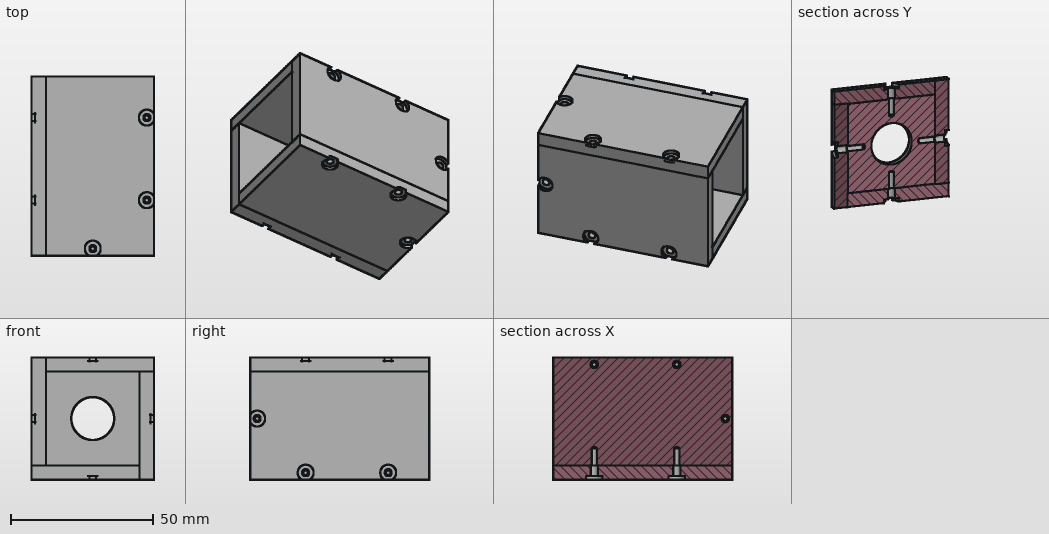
import cadquery as cq
import math

box_width = 43.0
box_length = 63.0
wall = 5.05
bore_diameter = 15.0

counterbore_diameter = 5.6
counterbore_depth = 1.3
clearance_diameter = 2.45
pilot_diameter = 1.75
pilot_depth = 6.0
drill_tip_angle = 118
side_count = 4

half_width = box_width / 2
front_y = -box_length / 2
inner_width = box_width - 2 * wall
joint_z = half_width - wall
open_length = box_length - wall
seam_x = half_width - wall / 2
end_screw_y = front_y + wall / 2
seam_screw_ys = [front_y + wall + open_length * share for share in (0.25, 0.75)]

seam_screws = [(seam_x, y) for y in seam_screw_ys]
end_screw = (0, end_screw_y)


def turned(body, side):
    """Turn a body about the Y axis to the given side of the box; side 0 is the top."""
    return body.rotate((0, 0, 0), (0, 1, 0), side * 360 / side_count)


def pilot_holes(points):
    """Pilot holes going down from the joint plane, with conical drill tips."""
    straight = cq.Workplane("XY", origin=(0, 0, joint_z)).pushPoints(points)
    holes = straight.circle(pilot_diameter / 2).extrude(-pilot_depth)
    tip_height = pilot_diameter / 2 / math.tan(math.radians(drill_tip_angle / 2))
    for x, y in points:
        tip_base = cq.Vector(x, y, joint_z - pilot_depth)
        tip = cq.Solid.makeCone(pilot_diameter / 2, 0, tip_height, tip_base, cq.Vector(0, 0, -1))
        holes = holes.union(cq.Workplane(tip))
    return holes


def make_panel():
    """Top panel: screwed down to the right-hand panel and the end plate."""
    panel = (
        cq.Workplane("XY", origin=(0, 0, joint_z))
        .center(wall / 2, 0)
        .rect(box_width - wall, box_length)
        .extrude(wall)
    )
    screw_holes = (
        cq.Workplane("XY", origin=(0, 0, half_width))
        .pushPoints(seam_screws + [end_screw])
    )
    panel = panel.cut(screw_holes.circle(clearance_diameter / 2).extrude(-wall))
    panel = panel.cut(screw_holes.circle(counterbore_diameter / 2).extrude(-counterbore_depth))
    return panel.cut(turned(pilot_holes(seam_screws), -1))


def make_end_plate():
    """Square plate closing the -Y end inside the four panels."""
    plate = (
        cq.Workplane("XZ", origin=(0, front_y, 0))
        .rect(inner_width, inner_width)
        .circle(bore_diameter / 2)
        .extrude(-wall)
    )
    for side in range(side_count):
        plate = plate.cut(turned(pilot_holes([end_screw]), side))
    return plate


panel = make_panel()
panels = [turned(panel, side) for side in range(side_count)]
end_plate = make_end_plate()

result = cq.Compound.makeCompound([end_plate.val(), *[side_panel.val() for side_panel in panels]])